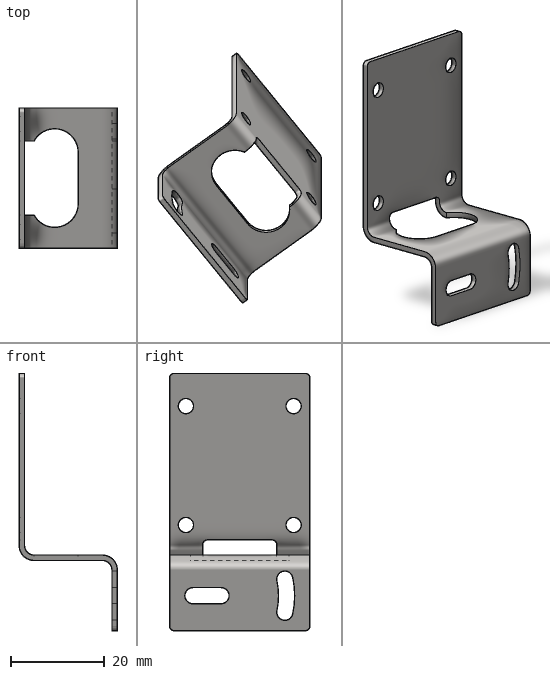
import cadquery as cq
import math

thickness = 1.2
inner_bend = 2.0
outer_bend = inner_bend + thickness
length = 21.0
width = 30.0
height = 55.0
corner_radius = 1.0

shelf_bottom = 15.0
shelf_top = shelf_bottom + thickness
lower_flange_inside = length - thickness

hole_diameter = 3.2
hole_spacing_y = 23.0
hole_spacing_z = 25.4
lower_hole_z = 22.6

window_width = 15.8
window_top = 19.4
shelf_slot_width = 10.0
shelf_slot_length = 21.0
shelf_slot_x = 7.6

slot_width = 3.4
pivot_y = -7.0
pivot_z = 7.5
straight_slot_travel = 6.0
straight_slot_length = straight_slot_travel + slot_width
arc_radius = 17.0
arc_half_angle = 12.0


def bent_sheet():
    """Z-shaped sheet profile, extruded across the width."""
    profile = (
        cq.Workplane("XZ")
        .moveTo(0, height)
        .lineTo(0, shelf_bottom + outer_bend)
        .radiusArc((outer_bend, shelf_bottom), -outer_bend)
        .lineTo(lower_flange_inside - inner_bend, shelf_bottom)
        .radiusArc((lower_flange_inside, shelf_bottom - inner_bend), inner_bend)
        .lineTo(lower_flange_inside, 0)
        .lineTo(length, 0)
        .lineTo(length, shelf_top - outer_bend)
        .radiusArc((length - outer_bend, shelf_top), -outer_bend)
        .lineTo(outer_bend, shelf_top)
        .radiusArc((thickness, shelf_top + inner_bend), inner_bend)
        .lineTo(thickness, height)
        .close()
    )
    sheet = profile.extrude(width / 2, both=True)
    return sheet.edges("|X and (>Z or <Z)").fillet(corner_radius)


def mounting_holes():
    """Four cylinders through the upper flange."""
    return (
        cq.Workplane("YZ")
        .center(0, lower_hole_z + hole_spacing_z / 2)
        .rarray(hole_spacing_y, hole_spacing_z, 2, 2)
        .circle(hole_diameter / 2)
        .extrude(thickness)
    )


def bend_window():
    """Rounded window that cuts away the middle of the first bend."""
    window_height = window_top - shelf_bottom
    window = cq.Workplane("XY").box(
        outer_bend, window_width, window_height, centered=(False, True, False)
    )
    return window.edges("|X and >Z").fillet(corner_radius).translate((0, 0, shelf_bottom))


def shelf_slot():
    """Large slot through the shelf, running into the bend window."""
    slot = (
        cq.Workplane("XY", origin=(shelf_slot_x, 0, shelf_bottom))
        .slot2D(shelf_slot_length, shelf_slot_width, 90)
        .extrude(thickness)
    )
    flat_shelf = cq.Workplane("XY", origin=(outer_bend, 0, shelf_bottom)).box(
        length, width, thickness, centered=(False, True, False)
    )
    return slot.intersect(flat_shelf)


def straight_slot():
    """Horizontal slot through the lower flange."""
    return (
        cq.Workplane("YZ", origin=(lower_flange_inside, pivot_y, pivot_z))
        .slot2D(straight_slot_length, slot_width)
        .extrude(thickness)
    )


def arc_slot():
    """Curved slot through the lower flange, swinging about the pivot."""

    def polar(radius, degrees):
        angle = math.radians(degrees)
        return (radius * math.cos(angle), radius * math.sin(angle))

    end_radius = slot_width / 2
    outer = arc_radius + end_radius
    inner = arc_radius - end_radius
    tip_radius = math.hypot(arc_radius, end_radius)
    tip_angle = arc_half_angle + math.degrees(math.atan(end_radius / arc_radius))
    return (
        cq.Workplane("YZ", origin=(lower_flange_inside, pivot_y, pivot_z))
        .moveTo(*polar(outer, -arc_half_angle))
        .threePointArc(polar(outer, 0), polar(outer, arc_half_angle))
        .threePointArc(polar(tip_radius, tip_angle), polar(inner, arc_half_angle))
        .threePointArc(polar(inner, 0), polar(inner, -arc_half_angle))
        .threePointArc(polar(tip_radius, -tip_angle), polar(outer, -arc_half_angle))
        .close()
        .extrude(thickness)
    )


result = bent_sheet()
for opening in (mounting_holes(), bend_window(), shelf_slot(), straight_slot(), arc_slot()):
    result = result.cut(opening)